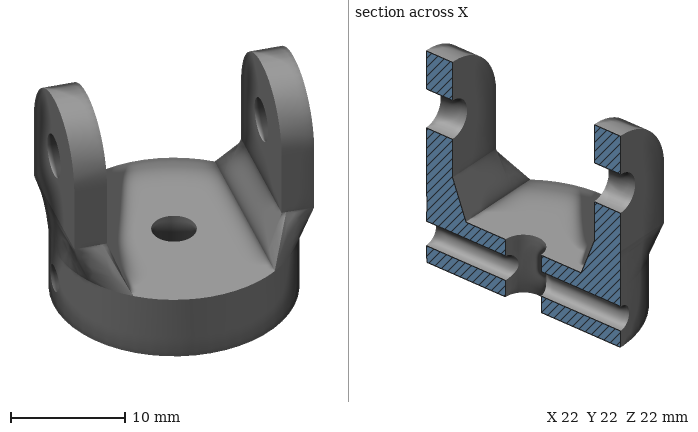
import cadquery as cq
import math

base_diameter = 22.0
base_radius = base_diameter / 2
base_height = 6.0
center_bore_diameter = 4.0
cross_hole_diameter = 2.5

total_height = 22.0
lug_width = 12.01
lug_thickness = 3.0
lug_bottom = 10.0
lug_height = total_height - lug_bottom
lug_corner_radius = 5.9
pin_hole_height = total_height - lug_width / 2
lug_middle_y = base_radius - lug_thickness / 2
pin_hole_diameter = 4.0

foot_chord_y = 6.5
foot_half_chord = math.sqrt(base_radius**2 - foot_chord_y**2)


def make_base():
    return cq.Workplane("XY").circle(base_radius).extrude(base_height)


def make_foot():
    """Loft from the circular segment up to the rectangular lug on the -Y side."""
    return (
        cq.Workplane("XY", origin=(0, 0, base_height))
        .moveTo(-foot_half_chord, -foot_chord_y)
        .threePointArc((0, -base_radius), (foot_half_chord, -foot_chord_y))
        .close()
        .workplane(offset=lug_bottom - base_height)
        .center(0, -lug_middle_y)
        .rect(lug_width, lug_thickness)
        .loft(combine=True)
    )


def make_lug():
    """Upright plate on the -Y side with its two upper corners rounded."""
    return (
        cq.Workplane("XY", origin=(0, -lug_middle_y, lug_bottom))
        .rect(lug_width, lug_thickness)
        .extrude(lug_height)
        .faces(">Z")
        .edges("|Y")
        .fillet(lug_corner_radius)
    )


def make_y_hole(diameter, height):
    """Cutter along Y through the whole part."""
    return (
        cq.Workplane("XZ", origin=(0, 0, height))
        .circle(diameter / 2)
        .extrude(base_radius, both=True)
    )


arm = make_foot().union(make_lug())
center_bore = cq.Workplane("XY").circle(center_bore_diameter / 2).extrude(base_height)

result = (
    make_base()
    .union(arm)
    .union(arm.mirror("XZ"))
    .cut(center_bore)
    .cut(make_y_hole(cross_hole_diameter, base_height / 2))
    .cut(make_y_hole(pin_hole_diameter, pin_hole_height))
)